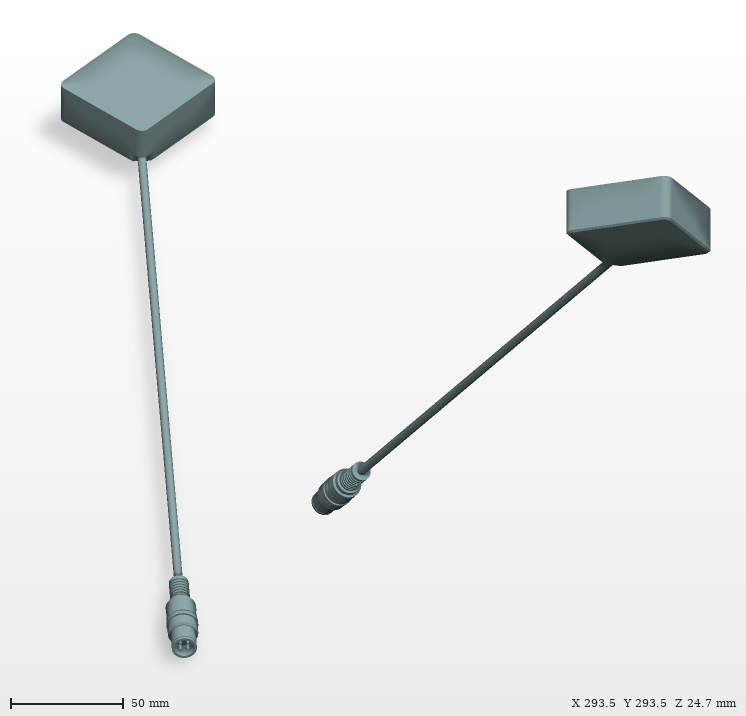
import cadquery as cq
import math

overall_span = 293.5
overall_height = 24.7
half_span = overall_span / 2

housing_side = 50.5
housing_height = 20.3
housing_corner_radius = 3.8
housing_bottom_chamfer = 1.0
housing_bottom = overall_height - housing_height
housing_inner_x = housing_side - half_span

corner_cut_leg = 7.3
corner_cut_height = 5.0

axis_height = 7.0
cable_radius = 1.95
cable_embed = 6.0

boot_length = 14.7
boot_radius = 4.5
boot_core_radius = 3.8
boot_rib_count = 7
boot_rib_share = 0.6
boot_cap_length = 2.0

collar_length = 2.3
collar_radius = 5.5
sleeve_length = 9.7
sleeve_radius = 6.8
sleeve_flat_length = 5.3
sleeve_flat_distance = 6.5
neck_length = 1.0
neck_radius = 6.0
ring_length = 2.0
ring_radius = axis_height
ring_gap_length = 0.5
ring_gap_radius = 6.2
nut_length = 6.0
nut_radius = 6.8
nut_chamfer = 1.0
plug_length = 9.5
plug_radius = 5.5
plug_rim_length = 1.2
plug_groove_length = 0.5
plug_groove_depth = 0.3

socket_radius = 4.5
socket_depth = 7.3
pin_count = 4
pin_radius = 0.5
pin_first_angle = 45
pin_circle_radius = 2.3
pin_length = 6.5

axis_end = math.sqrt(2) * half_span - plug_radius
connector_length = (
    boot_length
    + collar_length
    + sleeve_length
    + neck_length
    + ring_length
    + ring_gap_length
    + nut_length
    + plug_length
)
connector_start = axis_end - connector_length


def diagonal_plane(distance):
    """Plane across the cable axis, at a distance from the origin; local x is up, local y is sideways."""
    offset = distance / math.sqrt(2)
    return cq.Workplane(cq.Plane(origin=(offset, -offset, axis_height), xDir=(0, 0, 1), normal=(1, -1, 0)))


def make_housing():
    center = housing_side / 2 - half_span
    box = (
        cq.Workplane("XY", origin=(center, -center, housing_bottom))
        .rect(housing_side, housing_side)
        .extrude(housing_height)
        .edges("|Z")
        .fillet(housing_corner_radius)
        .faces("<Z")
        .chamfer(housing_bottom_chamfer)
    )
    corner_cut = (
        cq.Workplane("XY", origin=(housing_inner_x, -housing_inner_x, housing_bottom))
        .polyline([(0, 0), (-corner_cut_leg, 0), (0, corner_cut_leg)])
        .close()
        .extrude(corner_cut_height)
    )
    return box.cut(corner_cut)


def make_cable():
    exit_distance = math.sqrt(2) * housing_inner_x - corner_cut_leg / math.sqrt(2)
    start = exit_distance - cable_embed
    end = connector_start + cable_embed
    return diagonal_plane(start).circle(cable_radius).extrude(end - start)


def boot_steps():
    """Length and radius of each boot step: a plain cap, then grooves alternating with ribs."""
    pitch = (boot_length - boot_cap_length) / boot_rib_count
    steps = [(boot_cap_length, boot_radius)]
    for _ in range(boot_rib_count):
        steps.append((pitch * (1 - boot_rib_share), boot_core_radius))
        steps.append((pitch * boot_rib_share, boot_radius))
    return steps


def make_connector_body():
    """Revolve the stepped profile; profile x runs along the axis and profile y is the radius."""
    steps = boot_steps() + [
        (collar_length, collar_radius),
        (sleeve_length, sleeve_radius),
        (neck_length, neck_radius),
        (ring_length, ring_radius),
        (ring_gap_length, ring_gap_radius),
        (nut_length - nut_chamfer, nut_radius),
    ]
    points = [(0, 0)]
    position = 0
    for length, radius in steps:
        points.append((position, radius))
        position += length
        points.append((position, radius))

    rim_start = connector_length - plug_rim_length
    groove_start = rim_start - plug_groove_length
    groove_radius = plug_radius - plug_groove_depth
    nut_end = connector_length - plug_length
    points += [
        (nut_end, nut_radius - nut_chamfer),
        (nut_end, plug_radius),
        (groove_start, plug_radius),
        (groove_start, groove_radius),
        (rim_start, groove_radius),
        (rim_start, plug_radius),
        (connector_length, plug_radius),
        (connector_length, 0),
    ]
    offset = connector_start / math.sqrt(2)
    profile_plane = cq.Plane(origin=(offset, -offset, axis_height), xDir=(1, -1, 0), normal=(-1, -1, 0))
    return cq.Workplane(profile_plane).polyline(points).close().revolve(360, (0, 0), (1, 0))


def make_sleeve_flats():
    """Cutters for the two upright flats on opposite sides of the sleeve."""
    sleeve_start = connector_start + boot_length + collar_length
    flat_start = sleeve_start + (sleeve_length - sleeve_flat_length) / 2
    cutter_size = 2 * sleeve_radius
    cutter_center = sleeve_flat_distance + cutter_size / 2
    return (
        diagonal_plane(flat_start)
        .pushPoints([(0, cutter_center), (0, -cutter_center)])
        .rect(cutter_size, cutter_size)
        .extrude(sleeve_flat_length)
    )


def make_connector():
    socket_floor = diagonal_plane(axis_end - socket_depth)
    socket = socket_floor.circle(socket_radius).extrude(socket_depth)
    pins = (
        socket_floor.polarArray(pin_circle_radius, pin_first_angle, 360, pin_count)
        .circle(pin_radius)
        .extrude(pin_length)
    )
    return make_connector_body().cut(make_sleeve_flats()).cut(socket).union(pins)


result = make_housing().union(make_cable()).union(make_connector())